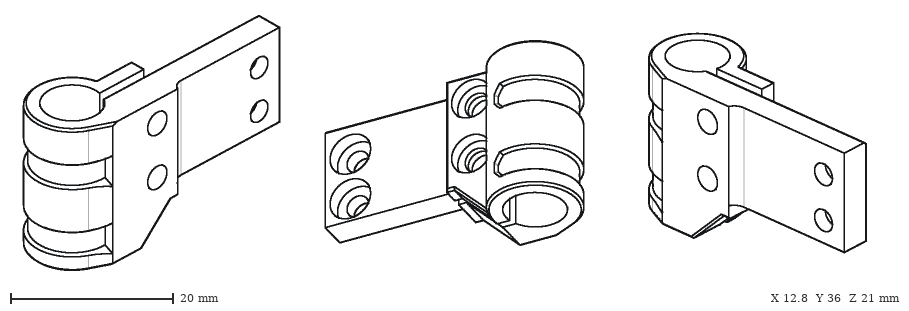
import cadquery as cq
import math

total_length = 36.0
height = 21.0
barrel_radius = 6.0
bore_diameter = 8.0
flat_x = 6.8
edge_chamfer = 0.32
rear_y = total_length - barrel_radius

tab_outer_x = -1.7
gap_start_x = 0.8
gap_end_x = 1.8
jaw_end_y = 11.52
jaw_bottom_z = 5.05
slope_top_y = 10.45
flat_start_y = 0.35

plate_outer_x = 5.75
plate_bottom_z = 7.0
relief_radius = 1.65

clamp_hole_y = 8.0
clamp_hole_depths = (3.5, 11.5)
clamp_hole_diameter = 3.3
clamp_bore_diameter = 5.4
clamp_bore_depth = 1.65
mount_hole_y = 26.5
mount_hole_depths = (4.32, 10.8)
mount_hole_diameter = 3.0
mount_bore_diameter = 5.6
mount_bore_depth = 2.0

groove_centers = (4.0, 13.95)
groove_floor_radius = 5.5
groove_floor_width = 3.02
groove_wall_angle = 30.0
groove_end_corner = 1.0
groove_end_tilt = 20.0
groove_end_reach = 0.75
groove_end_length = 1.8
groove_end_sink = 0.07
groove_clearance = 1.45


def make_barrel():
    """Round barrel with a tangent face running into the flat of the thick jaw."""
    distance = math.hypot(flat_x, flat_start_y)
    angle = math.atan2(flat_start_y, flat_x) - math.acos(barrel_radius / distance)
    tangent = (barrel_radius * math.cos(angle), barrel_radius * math.sin(angle))
    barrel = (
        cq.Workplane("XY")
        .moveTo(0, barrel_radius)
        .threePointArc((-barrel_radius, 0), tangent)
        .lineTo(flat_x, flat_start_y)
        .lineTo(flat_x, bore_diameter / 2)
        .close()
        .extrude(height)
    )
    middle = ((tangent[0] + flat_x) / 2, (tangent[1] + flat_start_y) / 2)
    top = barrel.faces(">Z")
    slanted_top = top.edges(cq.selectors.NearestToPointSelector((*middle, height)))
    barrel = top.edges("%CIRCLE").add(slanted_top).chamfer(edge_chamfer)
    bottom = barrel.faces("<Z")
    slanted_bottom = bottom.edges(cq.selectors.NearestToPointSelector((*middle, 0)))
    flat_bottom = bottom.edges(">X")
    return bottom.edges("%CIRCLE").add(slanted_bottom).add(flat_bottom).chamfer(edge_chamfer)


def make_jaw(start_x, end_x):
    """Flat jaw whose lower edge slopes down to the barrel's lower end."""
    return (
        cq.Workplane("YZ", origin=(start_x, 0, 0))
        .polyline([
            (bore_diameter / 4, 0),
            (slope_top_y - jaw_bottom_z, 0),
            (slope_top_y, jaw_bottom_z),
            (jaw_end_y, jaw_bottom_z),
            (jaw_end_y, height),
            (bore_diameter / 4, height),
        ])
        .close()
        .extrude(end_x - start_x)
    )


def make_plate():
    """Mounting plate with a concave step at the end of the thick jaw."""
    center_x = plate_outer_x + relief_radius
    drop = math.sqrt(relief_radius**2 - (center_x - flat_x) ** 2)
    center_y = jaw_end_y + drop
    middle_angle = math.pi + math.asin(drop / relief_radius) / 2
    relief_middle = (
        center_x + relief_radius * math.cos(middle_angle),
        center_y + relief_radius * math.sin(middle_angle),
    )
    return (
        cq.Workplane("XY", origin=(0, 0, plate_bottom_z))
        .moveTo(gap_end_x, bore_diameter / 4)
        .lineTo(flat_x, bore_diameter / 4)
        .lineTo(flat_x, jaw_end_y)
        .threePointArc(relief_middle, (plate_outer_x, center_y))
        .lineTo(plate_outer_x, rear_y)
        .lineTo(gap_end_x, rear_y)
        .close()
        .extrude(height - plate_bottom_z)
    )


def cylinder_along_x(start_x, end_x, y, z, diameter):
    return (
        cq.Workplane("YZ", origin=(start_x, y, z))
        .circle(diameter / 2)
        .extrude(end_x - start_x)
    )


def make_groove(center_z):
    """Groove cutter: sloped walls, square end on +X, corner-cut end on -X."""
    floor_half = groove_floor_width / 2
    outer_radius = groove_floor_radius + groove_clearance
    wall_slope = math.tan(math.radians(groove_wall_angle))
    outer_half = floor_half + groove_clearance * wall_slope

    def ring(sweep):
        return (
            cq.Workplane("XZ", origin=(0, 0, center_z))
            .polyline([
                (groove_floor_radius, -floor_half),
                (outer_radius, -outer_half),
                (outer_radius, outer_half),
                (groove_floor_radius, floor_half),
            ])
            .close()
            .revolve(sweep, (0, 0, 0), (0, -1, 0))
        )

    tilt = math.radians(groove_end_tilt)
    start_radius = groove_floor_radius - groove_end_sink
    outward = cq.Vector(-math.cos(tilt), math.sin(tilt), 0)
    along = cq.Vector(math.sin(tilt), math.cos(tilt), 0)
    end_plane = cq.Plane(origin=outward * start_radius + cq.Vector(0, 0, center_z),
                         xDir=along, normal=outward)
    corner_u = groove_end_reach - groove_end_corner
    end_half = floor_half - groove_end_corner
    end = (
        cq.Workplane(end_plane)
        .polyline([
            (-groove_end_length, -floor_half),
            (corner_u, -floor_half),
            (groove_end_reach, -end_half),
            (groove_end_reach, end_half),
            (corner_u, floor_half),
            (-groove_end_length, floor_half),
        ])
        .close()
        .extrude(groove_clearance, taper=-groove_wall_angle)
    )
    corner_angle = math.degrees(math.atan(-corner_u / groove_floor_radius))
    start_angle = math.degrees(math.atan2(flat_start_y, flat_x))
    main_sweep = 180 + start_angle + groove_end_tilt - corner_angle
    main = ring(main_sweep).rotate((0, 0, 0), (0, 0, 1), start_angle)
    return main.union(ring(360).intersect(end))


tab = make_jaw(tab_outer_x, gap_start_x).faces("<X").edges().chamfer(edge_chamfer)
thick_jaw = make_jaw(gap_end_x, flat_x)
thick_jaw = thick_jaw.faces(">X").edges("not (<Y or >Y or >Z)").chamfer(edge_chamfer)
arm = thick_jaw.union(make_plate())

gap = (
    cq.Workplane("XZ")
    .polyline([
        (gap_start_x, 0),
        (gap_end_x, 0),
        (gap_end_x, height - edge_chamfer),
        (gap_end_x + edge_chamfer, height),
        (gap_start_x, height),
    ])
    .close()
    .extrude(-rear_y)
)

bore = cq.Workplane("XY").circle(bore_diameter / 2).extrude(height)
result = make_barrel().union(arm).cut(gap).union(tab).cut(bore)

for depth in clamp_hole_depths:
    z = height - depth
    floor_x = tab_outer_x + clamp_bore_depth
    result = result.cut(cylinder_along_x(tab_outer_x, flat_x, clamp_hole_y, z, clamp_hole_diameter))
    result = result.cut(cylinder_along_x(-barrel_radius, floor_x, clamp_hole_y, z, clamp_bore_diameter))
for depth in mount_hole_depths:
    z = height - depth
    floor_x = gap_end_x + mount_bore_depth
    result = result.cut(cylinder_along_x(gap_end_x, plate_outer_x, mount_hole_y, z, mount_hole_diameter))
    result = result.cut(cylinder_along_x(gap_end_x, floor_x, mount_hole_y, z, mount_bore_diameter))

for center_z in groove_centers:
    result = result.cut(make_groove(center_z))